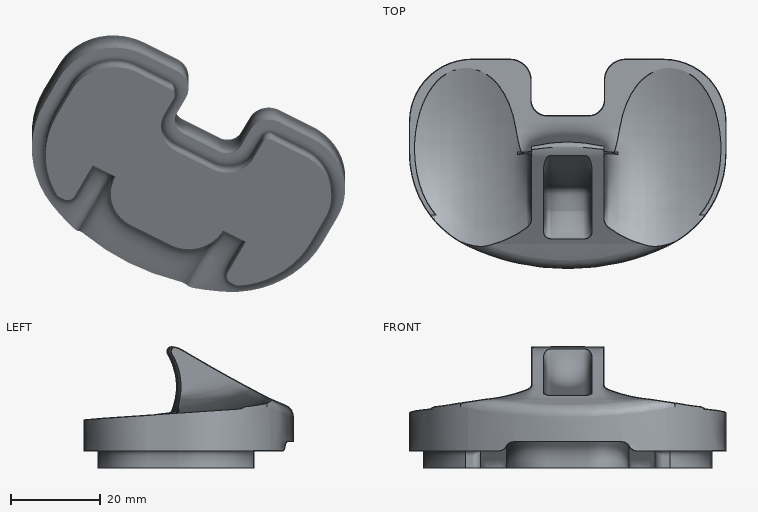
import cadquery as cq
import math


HALF_WIDTH = 35.46
POSTERIOR_Y = 23.45
ANTERIOR_Y = -23.45
POSTERIOR_RADIUS = 14.05
ANTERIOR_RADIUS = 52.0
FRONT_CORNER_RADIUS = 23.0
NOTCH_HALF_WIDTH = 8.2
NOTCH_FLOOR_Y = 10.8
NOTCH_FLOOR_RADIUS = 3.5
NOTCH_MOUTH_RADIUS = 4.8

PLATE_BOTTOM_Z = 3.85
RIM_SLOPE = 0.067
RIM_BACK_BREAK_Y = 18.6
RIM_BACK_BREAK_Z = 11.2
RIM_BACK_SLOPE = 0.085

DISH_X = 22.8
DISH_Y = 7.3
DISH_LOWEST_Z = 9.3
DISH_SAGITTAL_RADIUS = 61.0
DISH_CORONAL_RADIUS = 25.2
DISH_OUTER_REACH = 18.0
POST_FILLET = 2.3

POST_HALF_WIDTH = 8.07
POST_BODY_HALF_WIDTH = 20.0
TOP_Z = 27.17
RAMP_TOP = (1.5, 26.45)
RAMP_SAG = 0.2
CREST = (3.7, TOP_Z)
RAMP_FOOT = (-18.0, 15.6)
RAMP_FOOT_SLOPE = 0.42
LIP_HALF_WIDTH = 25.0
LIP_BACK_Y = -15.0
LIP_BOTTOM_Z = 7.9
FRONT_EDGE_FILLET = 2.85
SHOULDER_BACK_Y = -11.5
SHOULDER_FRONT_Y = -17.5
POST_PLAN_RADIUS = 35.0
POST_CROWN_Y = 4.9
POST_BACK_FOOT = (4.0, 12.4)
POST_BACK_WAIST = (2.75, 17.8)
POST_BACK_HEAD = (4.7, 25.5)
POST_NOSE = (4.75, 26.6)

BLEND_START_Y = 7.9
BLEND_END = (2.7, 12.7)
BLEND_HALF_WIDTH = 12.5
BLEND_OVERLAP = 1.0

POCKET_HALF_WIDTH = 5.4
POCKET_BACK_Y = 1.9
POCKET_FRONT_Y = -17.0
POCKET_FLOOR_Z = 14.0
POCKET_FLOOR_FRONT_Y = -10.6
POCKET_FILLET = 1.7
POCKET_LIP_SLOPE = 0.27
POCKET_BACK_SLOPE = 0.6

BASE_INSET = 3.1
BASE_FRONT_Y = -14.6
RECESS_HALF_WIDTH = 19.5
RECESS_BACK_Y = -4.3
RECESS_CORNER_RADIUS = 1.8
TONGUE_HALF_WIDTH = 13.7
TONGUE_FLAT_HALF_WIDTH = 5.0
RELIEF_TOP_Z = 5.9
RELIEF_TOP_HALF_WIDTH = 12.0
RELIEF_BOTTOM_HALF_WIDTH = 15.5

MARGIN = 10.0
RAMP_SLOPE = (RAMP_TOP[1] - RAMP_FOOT[1]) / (RAMP_TOP[0] - RAMP_FOOT[0])


def rim_z(y):
    """Height of the main rim plane at y."""
    return RIM_BACK_BREAK_Z + RIM_SLOPE * (RIM_BACK_BREAK_Y - y)


def ramp_z(y):
    """Height at y of the straight line from the ramp foot to the ramp top."""
    return RAMP_FOOT[1] + RAMP_SLOPE * (y - RAMP_FOOT[0])


def side_profile(half_width):
    """Workplane whose local x is Y and local y is Z, placed to extrude from -half_width to +half_width."""
    return cq.Workplane("YZ", origin=(-half_width, 0, 0))


def plate_outline():
    """Kidney-shaped plan outline, without the notch, on the XY plane."""
    front_center_y = ANTERIOR_Y + ANTERIOR_RADIUS
    corner_x = HALF_WIDTH - FRONT_CORNER_RADIUS
    center_distance = ANTERIOR_RADIUS - FRONT_CORNER_RADIUS
    corner_y = front_center_y - math.sqrt(center_distance**2 - corner_x**2)
    reach = ANTERIOR_RADIUS / center_distance
    blend_x = corner_x * reach
    blend_y = front_center_y + (corner_y - front_center_y) * reach
    lobe_x = HALF_WIDTH - POSTERIOR_RADIUS
    lobe_y = POSTERIOR_Y - POSTERIOR_RADIUS
    return (
        cq.Workplane("XY")
        .moveTo(-lobe_x, POSTERIOR_Y)
        .lineTo(lobe_x, POSTERIOR_Y)
        .tangentArcPoint((HALF_WIDTH, lobe_y), relative=False)
        .lineTo(HALF_WIDTH, corner_y)
        .tangentArcPoint((blend_x, blend_y), relative=False)
        .threePointArc((0, ANTERIOR_Y), (-blend_x, blend_y))
        .tangentArcPoint((-HALF_WIDTH, corner_y), relative=False)
        .lineTo(-HALF_WIDTH, lobe_y)
        .tangentArcPoint((-lobe_x, POSTERIOR_Y), relative=False)
        .close()
    )


def notch():
    """Posterior notch with rounded floor corners, open toward +Y."""
    depth = POSTERIOR_Y + MARGIN - NOTCH_FLOOR_Y
    block = cq.Workplane("XY").box(2 * NOTCH_HALF_WIDTH, depth, TOP_Z, centered=(True, False, False))
    return block.edges("|Z and <Y").fillet(NOTCH_FLOOR_RADIUS).translate((0, NOTCH_FLOOR_Y, 0))


def notched_prism(height):
    """Full plan shape with the notch and its rounded mouth, from Z = 0 to height."""
    prism = plate_outline().extrude(height).cut(notch())
    mouth = cq.selectors.BoxSelector(
        (-NOTCH_HALF_WIDTH - 1, POSTERIOR_Y - 1, -1), (NOTCH_HALF_WIDTH + 1, POSTERIOR_Y + 1, height + 1)
    )
    return prism.edges("|Z").edges(mouth).fillet(NOTCH_MOUTH_RADIUS)


def plate():
    """Plate between its flat underside and the sloping rim."""
    far_back = POSTERIOR_Y + MARGIN
    far_front = ANTERIOR_Y - MARGIN
    back_z = RIM_BACK_BREAK_Z - RIM_BACK_SLOPE * (far_back - RIM_BACK_BREAK_Y)
    slab = (
        side_profile(HALF_WIDTH + MARGIN)
        .polyline(
            [
                (far_front, LIP_BOTTOM_Z),
                (far_front, PLATE_BOTTOM_Z),
                (far_back, PLATE_BOTTOM_Z),
                (far_back, back_z),
                (RIM_BACK_BREAK_Y, RIM_BACK_BREAK_Z),
                (LIP_BACK_Y, rim_z(LIP_BACK_Y)),
                (LIP_BACK_Y, LIP_BOTTOM_Z),
            ]
        )
        .close()
        .extrude(2 * (HALF_WIDTH + MARGIN))
    )
    return notched_prism(TOP_Z).intersect(slab)


def ramp_prism(half_width, back_y):
    """Stock under the slightly hollow ramp, from the ramp foot over the rounded crest to back_y."""
    mid_y = (RAMP_FOOT[0] + RAMP_TOP[0]) / 2
    return (
        side_profile(half_width)
        .moveTo(*RAMP_FOOT)
        .threePointArc((mid_y, ramp_z(mid_y) - RAMP_SAG), RAMP_TOP)
        .tangentArcPoint(CREST, relative=False)
        .lineTo(back_y, TOP_Z)
        .lineTo(back_y, PLATE_BOTTOM_Z)
        .lineTo(RAMP_FOOT[0], PLATE_BOTTOM_Z)
        .close()
        .extrude(2 * half_width)
    )


def foot_z(y):
    """Height of the flatter ramp foot at y."""
    start_y, start_z = RAMP_FOOT
    return start_z + RAMP_FOOT_SLOPE * (y - start_y)


def front_lip():
    """Ramp foot in front of the post and dishes, rounded along the anterior edge."""
    front_y = ANTERIOR_Y - MARGIN
    body = (
        side_profile(LIP_HALF_WIDTH)
        .polyline(
            [
                (LIP_BACK_Y, PLATE_BOTTOM_Z),
                (LIP_BACK_Y, foot_z(LIP_BACK_Y)),
                (front_y, foot_z(front_y)),
                (front_y, PLATE_BOTTOM_Z),
            ]
        )
        .close()
        .extrude(2 * LIP_HALF_WIDTH)
        .intersect(plate_outline().extrude(TOP_Z))
    )
    return body.edges("%ELLIPSE").fillet(FRONT_EDGE_FILLET)


def shoulders():
    """Rim rising at the front corners, from the rim plane up to the ramp foot."""
    half_width = HALF_WIDTH + MARGIN
    body = (
        side_profile(half_width)
        .polyline(
            [
                (SHOULDER_BACK_Y, PLATE_BOTTOM_Z),
                (SHOULDER_BACK_Y, rim_z(SHOULDER_BACK_Y)),
                (SHOULDER_FRONT_Y, foot_z(SHOULDER_FRONT_Y)),
                (SHOULDER_FRONT_Y, PLATE_BOTTOM_Z),
            ]
        )
        .close()
        .extrude(2 * half_width)
    )
    return body.intersect(plate_outline().extrude(TOP_Z))


def post():
    """Post under the ramp; its back is hollow from the side and rounded in plan."""
    axis_y = POST_CROWN_Y - POST_PLAN_RADIUS
    back = (
        cq.Workplane("YZ")
        .moveTo(axis_y, PLATE_BOTTOM_Z)
        .lineTo(POST_BACK_FOOT[0], PLATE_BOTTOM_Z)
        .lineTo(*POST_BACK_FOOT)
        .threePointArc(POST_BACK_WAIST, POST_BACK_HEAD)
        .threePointArc(POST_NOSE, CREST)
        .lineTo(axis_y, TOP_Z)
        .close()
        .revolve(360, (axis_y, 0), (axis_y, 1))
    )
    return ramp_prism(POST_BODY_HALF_WIDTH, POST_CROWN_Y).intersect(back)


def post_blend():
    """Low concave rise from the rim to the foot of the post's back."""
    overlap_y = BLEND_START_Y + BLEND_OVERLAP
    return (
        side_profile(BLEND_HALF_WIDTH)
        .moveTo(overlap_y, rim_z(overlap_y))
        .lineTo(BLEND_START_Y, rim_z(BLEND_START_Y))
        .tangentArcPoint(BLEND_END, relative=False)
        .lineTo(BLEND_END[0], PLATE_BOTTOM_Z)
        .lineTo(overlap_y, PLATE_BOTTOM_Z)
        .close()
        .extrude(2 * BLEND_HALF_WIDTH)
    )


def dish_cutter():
    """Toroidal cutter of the dish on the -X side, its inner rim rounded to fillet the post side."""
    axis_z = DISH_LOWEST_Z + DISH_SAGITTAL_RADIUS
    arc_center_z = DISH_LOWEST_Z + DISH_CORONAL_RADIUS

    def arc_z(x):
        return arc_center_z - math.sqrt(DISH_CORONAL_RADIUS**2 - (x + DISH_X) ** 2)

    inner_x = -POST_HALF_WIDTH
    outer_x = -DISH_X - DISH_OUTER_REACH
    cutter = (
        cq.Workplane("XZ", origin=(0, DISH_Y, 0))
        .moveTo(inner_x, arc_z(inner_x))
        .threePointArc((-DISH_X, DISH_LOWEST_Z), (outer_x, arc_z(outer_x)))
        .lineTo(outer_x, axis_z)
        .lineTo(inner_x, axis_z)
        .close()
        .revolve(360, (0, axis_z), (1, axis_z))
    )
    rounded = cutter.faces(">X").edges().fillet(POST_FILLET)
    return rounded.rotate((0, DISH_Y, axis_z), (1, DISH_Y, axis_z), 180)


def pocket():
    """Rounded pocket sunk about square to the ramp, with a floor that rises to the front lip."""
    mouth_z = ramp_z(POCKET_BACK_Y) + MARGIN
    depth = ramp_z(POCKET_BACK_Y) - POCKET_FLOOR_Z
    floor_back_y = POCKET_BACK_Y - POCKET_BACK_SLOPE * depth
    cutter = (
        side_profile(POCKET_HALF_WIDTH)
        .polyline(
            [
                (POCKET_BACK_Y + POCKET_BACK_SLOPE * MARGIN, mouth_z),
                (floor_back_y, POCKET_FLOOR_Z),
                (POCKET_FLOOR_FRONT_Y, POCKET_FLOOR_Z),
                (POCKET_FRONT_Y, POCKET_FLOOR_Z + POCKET_LIP_SLOPE * (POCKET_FLOOR_FRONT_Y - POCKET_FRONT_Y)),
                (POCKET_FRONT_Y, mouth_z),
            ]
        )
        .close()
        .extrude(2 * POCKET_HALF_WIDTH)
    )
    return cutter.edges("not >Z").fillet(POCKET_FILLET)


def tongue_outline():
    """Tongue with a flat front and quarter-round sides, drawn from the recess back."""
    radius = TONGUE_HALF_WIDTH - TONGUE_FLAT_HALF_WIDTH
    front_y = RECESS_BACK_Y - radius
    return (
        cq.Workplane("XY")
        .moveTo(-TONGUE_HALF_WIDTH, RECESS_BACK_Y)
        .radiusArc((-TONGUE_FLAT_HALF_WIDTH, front_y), -radius)
        .lineTo(TONGUE_FLAT_HALF_WIDTH, front_y)
        .tangentArcPoint((TONGUE_HALF_WIDTH, RECESS_BACK_Y), relative=False)
        .close()
    )


def tongue(height):
    """Solid tongue from Z = 0 to height."""
    return tongue_outline().extrude(height)


def base_block(half_width, back_y, height):
    """Block from Z = 0 that reaches from back_y past the anterior edge."""
    depth = back_y - ANTERIOR_Y + MARGIN
    block = cq.Workplane("XY").box(2 * half_width, depth, height, centered=(True, False, False))
    return block.translate((0, back_y - depth, 0))


def locking_base():
    """Inset base with flat front pads on both sides of an anterior recess."""
    rim = notched_prism(PLATE_BOTTOM_Z).faces("<Z").wires().toPending().offset2D(-BASE_INSET)
    base = rim.extrude(PLATE_BOTTOM_Z, combine=False)
    base = base.cut(base_block(HALF_WIDTH, BASE_FRONT_Y, PLATE_BOTTOM_Z))
    base = base.cut(base_block(RECESS_HALF_WIDTH, RECESS_BACK_Y, PLATE_BOTTOM_Z))
    pad_corners = cq.selectors.BoxSelector(
        (-RECESS_HALF_WIDTH - 1, BASE_FRONT_Y - 1, -1), (RECESS_HALF_WIDTH + 1, BASE_FRONT_Y + 1, TOP_Z)
    )
    return base.edges("|Z").edges(pad_corners).fillet(RECESS_CORNER_RADIUS)


def front_relief():
    """Relief under the front of the plate with S-shaped flanks, leaving the tongue standing."""
    mid_x = (RELIEF_TOP_HALF_WIDTH + RELIEF_BOTTOM_HALF_WIDTH) / 2
    mid_z = (RELIEF_TOP_Z + PLATE_BOTTOM_Z) / 2
    relief = (
        cq.Workplane("XZ", origin=(0, RECESS_BACK_Y, 0))
        .moveTo(RELIEF_BOTTOM_HALF_WIDTH + 1, PLATE_BOTTOM_Z)
        .lineTo(RELIEF_BOTTOM_HALF_WIDTH, PLATE_BOTTOM_Z)
        .tangentArcPoint((mid_x, mid_z), relative=False)
        .tangentArcPoint((RELIEF_TOP_HALF_WIDTH, RELIEF_TOP_Z), relative=False)
        .lineTo(-RELIEF_TOP_HALF_WIDTH, RELIEF_TOP_Z)
        .tangentArcPoint((-mid_x, mid_z), relative=False)
        .tangentArcPoint((-RELIEF_BOTTOM_HALF_WIDTH, PLATE_BOTTOM_Z), relative=False)
        .lineTo(-RELIEF_BOTTOM_HALF_WIDTH - 1, PLATE_BOTTOM_Z)
        .lineTo(-RELIEF_BOTTOM_HALF_WIDTH - 1, PLATE_BOTTOM_Z - 1)
        .lineTo(RELIEF_BOTTOM_HALF_WIDTH + 1, PLATE_BOTTOM_Z - 1)
        .close()
        .extrude(RECESS_BACK_Y - ANTERIOR_Y + MARGIN)
    )
    return relief.cut(tongue(RELIEF_TOP_Z))


dish = dish_cutter()
result = plate().union(shoulders()).union(front_lip()).union(post()).union(post_blend())
result = result.cut(dish).cut(dish.mirror("YZ"))
result = result.cut(pocket())
result = result.cut(front_relief())
result = result.union(locking_base()).union(tongue(RELIEF_TOP_Z))